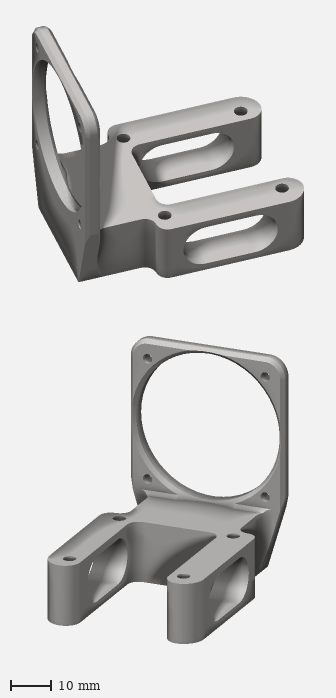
import cadquery as cq
import math

WIDTH = 42.0
HEIGHT = 57.0
PLATE_THICKNESS = 4.0
PLATE_CORNER_RADIUS = 5.0
EDGE_CHAMFER = 1.0
FAN_BORE_DIAMETER = 39.0
FAN_CENTER_Z = 36.0
FAN_HOLE_SPACING = 32.0
FAN_HOLE_DIAMETER = 2.5
TAPER_TOP_Z = 20.0

BASE_HEIGHT = 16.0
NECK_WIDTH = 30.0
CORNER_RADIUS = 3.0
MOTOR_HOLE_SPACING = 31.0
MOTOR_HOLE_DIAMETER = 3.4
ARM_GAP = 24.0
ARM_END_Y = 59.06
ARM_TIP_RADIUS = 4.0
SHOULDER_Y = 19.5

SLOT_LENGTH = 25.0
SLOT_HEIGHT = 12.0

MOTOR_HOLE_X = MOTOR_HOLE_SPACING / 2
ARM_OUTER_RADIUS = WIDTH / 2 - MOTOR_HOLE_X

TIP_CENTER_X = ARM_GAP / 2 + ARM_TIP_RADIUS
TIP_CENTER_Y = ARM_END_Y - ARM_TIP_RADIUS
TIP_OFFSET_X = TIP_CENTER_X - MOTOR_HOLE_X
TIP_OFFSET_Y = math.sqrt((ARM_OUTER_RADIUS - ARM_TIP_RADIUS) ** 2 - TIP_OFFSET_X**2)

MOTOR_FAR_Y = TIP_CENTER_Y - TIP_OFFSET_Y
MOTOR_NEAR_Y = MOTOR_FAR_Y - MOTOR_HOLE_SPACING
MOTOR_CENTER_Y = (MOTOR_FAR_Y + MOTOR_NEAR_Y) / 2

SHOULDER_X = NECK_WIDTH / 2 + CORNER_RADIUS
SHOULDER_OFFSET_X = SHOULDER_X - MOTOR_HOLE_X
SHOULDER_DROP = MOTOR_NEAR_Y - SHOULDER_Y
SHOULDER_RADIUS = (ARM_OUTER_RADIUS**2 - SHOULDER_OFFSET_X**2 - SHOULDER_DROP**2) / (
    2 * (ARM_OUTER_RADIUS - SHOULDER_DROP)
)
SHOULDER_OFFSET_Y = SHOULDER_RADIUS - SHOULDER_DROP

RIB_SIZE = EDGE_CHAMFER


def make_plate():
    """Upright plate with rounded top corners and chamfered top and side edges."""
    plate = (
        cq.Workplane("XY")
        .box(WIDTH, PLATE_THICKNESS, HEIGHT, centered=(True, False, False))
        .edges("|Y and >Z")
        .fillet(PLATE_CORNER_RADIUS)
    )
    return plate.faces("<Y or >Y").chamfer(EDGE_CHAMFER)


def point_on_arm_circle(hole_y, offset_x, offset_y):
    """Point of the circle around a motor hole, in the direction of the given offset."""
    scale = ARM_OUTER_RADIUS / math.hypot(offset_x, offset_y)
    return (MOTOR_HOLE_X + offset_x * scale, hole_y + offset_y * scale)


def make_base_blank():
    """Base outline seen along Z, extruded to the top of the rib."""
    half_width = WIDTH / 2
    half_neck = NECK_WIDTH / 2
    half_gap = ARM_GAP / 2
    r = CORNER_RADIUS
    shoulder_end = point_on_arm_circle(MOTOR_NEAR_Y, SHOULDER_OFFSET_X, SHOULDER_OFFSET_Y)
    tip_start = point_on_arm_circle(MOTOR_FAR_Y, TIP_OFFSET_X, TIP_OFFSET_Y)
    right_half = (
        cq.Workplane("XY")
        .lineTo(half_width, 0)
        .lineTo(half_width, PLATE_THICKNESS)
        .lineTo(SHOULDER_X, PLATE_THICKNESS)
        .tangentArcPoint((half_neck, PLATE_THICKNESS + r), relative=False)
        .lineTo(half_neck, SHOULDER_Y - r)
        .tangentArcPoint((SHOULDER_X, SHOULDER_Y), relative=False)
        .tangentArcPoint(shoulder_end, relative=False)
        .tangentArcPoint((half_width, MOTOR_NEAR_Y), relative=False)
        .lineTo(half_width, MOTOR_FAR_Y)
        .tangentArcPoint(tip_start, relative=False)
        .tangentArcPoint((half_gap, TIP_CENTER_Y), relative=False)
        .lineTo(half_gap, MOTOR_NEAR_Y + r)
        .tangentArcPoint((half_gap - r, MOTOR_NEAR_Y), relative=False)
        .lineTo(0, MOTOR_NEAR_Y)
        .close()
        .extrude(BASE_HEIGHT + RIB_SIZE)
    )
    return right_half.union(right_half.mirror("YZ"))


def make_rib(base_blank):
    """Small 45 degree rib in the corner between the plate and the base top."""
    rib = (
        cq.Workplane("YZ")
        .moveTo(PLATE_THICKNESS, BASE_HEIGHT)
        .lineTo(PLATE_THICKNESS + RIB_SIZE, BASE_HEIGHT)
        .lineTo(PLATE_THICKNESS, BASE_HEIGHT + RIB_SIZE)
        .close()
        .extrude(WIDTH / 2, both=True)
    )
    return rib.intersect(base_blank)


def make_fan_bore():
    """Straight bore that opens as a 45 degree cone through the plate back and the rib."""
    radius = FAN_BORE_DIAMETER / 2
    cone_start_y = PLATE_THICKNESS - EDGE_CHAMFER
    cone_end_y = PLATE_THICKNESS + RIB_SIZE
    cone_end_radius = radius + cone_end_y - cone_start_y
    return (
        cq.Workplane("XY")
        .lineTo(radius, 0)
        .lineTo(radius, cone_start_y)
        .lineTo(cone_end_radius, cone_end_y)
        .lineTo(0, cone_end_y)
        .close()
        .revolve(360, (0, 0, 0), (0, 1, 0))
        .translate((0, 0, FAN_CENTER_Z))
    )


def make_taper_envelope():
    """Full-width prism along Y whose sides narrow to the neck width at the bottom."""
    return (
        cq.Workplane("XZ")
        .moveTo(-NECK_WIDTH / 2, 0)
        .lineTo(NECK_WIDTH / 2, 0)
        .lineTo(WIDTH / 2, TAPER_TOP_Z)
        .lineTo(WIDTH / 2, HEIGHT)
        .lineTo(-WIDTH / 2, HEIGHT)
        .lineTo(-WIDTH / 2, TAPER_TOP_Z)
        .close()
        .extrude(-(PLATE_THICKNESS + CORNER_RADIUS))
    )


def make_fan_holes():
    return (
        cq.Workplane("XZ")
        .center(0, FAN_CENTER_Z)
        .rect(FAN_HOLE_SPACING, FAN_HOLE_SPACING, forConstruction=True)
        .vertices()
        .circle(FAN_HOLE_DIAMETER / 2)
        .extrude(-PLATE_THICKNESS)
    )


def make_motor_holes():
    return (
        cq.Workplane("XY")
        .center(0, MOTOR_CENTER_Y)
        .rect(MOTOR_HOLE_SPACING, MOTOR_HOLE_SPACING, forConstruction=True)
        .vertices()
        .circle(MOTOR_HOLE_DIAMETER / 2)
        .extrude(BASE_HEIGHT)
    )


def make_arm_slot():
    return (
        cq.Workplane("YZ")
        .center(MOTOR_CENTER_Y, BASE_HEIGHT / 2)
        .slot2D(SLOT_LENGTH, SLOT_HEIGHT)
        .extrude(WIDTH / 2, both=True)
    )


def make_taper_cut():
    """Two wedges beside the plate; the arms keep their full width."""
    zone_depth = PLATE_THICKNESS + CORNER_RADIUS
    plate_zone = cq.Workplane("XY").box(WIDTH, zone_depth, HEIGHT, centered=(True, False, False))
    return plate_zone.cut(make_taper_envelope())


base_blank = make_base_blank()
base_slab = cq.Workplane("XY").box(WIDTH, ARM_END_Y, BASE_HEIGHT, centered=(True, False, False))
base = base_blank.intersect(base_slab)

upright = make_plate().union(make_rib(base_blank)).cut(make_fan_bore())
body = upright.union(base).cut(make_taper_cut())

result = body.cut(make_fan_holes()).cut(make_motor_holes()).cut(make_arm_slot())